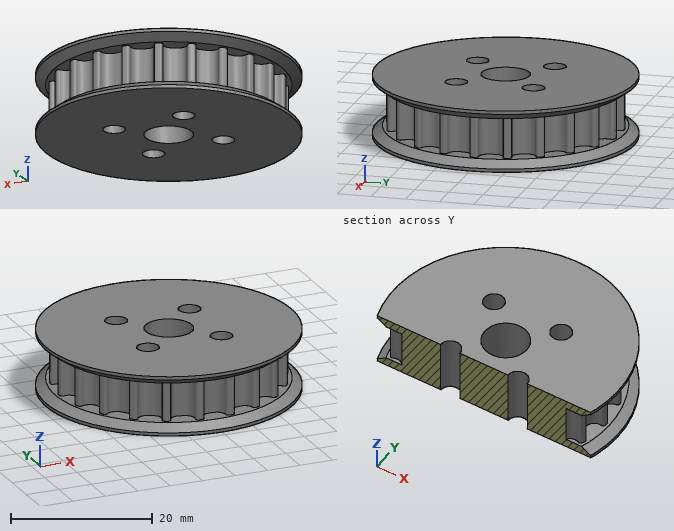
import cadquery as cq
import math

flange_diameter = 37.73
flange_root_diameter = 34.85
flange_rim_height = 0.5
flange_thickness = 1.5
total_height = 9.0
belt_width = total_height - 2 * flange_thickness

tooth_count = 22
tooth_tip_diameter = 33.9
tooth_land_width = 0.4
tooth_tip_fillet = 0.4
groove_depth = 2.05
groove_flat_width = 0.75

bore_diameter = 7.0
bolt_hole_diameter = 3.2
bolt_hole_spacing = 11.32


def polar(radius, angle):
    """Point at a radius and an angle counted from +X, in radians."""
    return (radius * math.cos(angle), radius * math.sin(angle))


def arc_midpoint(center, radius, start, end):
    """Middle of the short arc between two points of a circle."""
    dx = (start[0] + end[0]) / 2 - center[0]
    dy = (start[1] + end[1]) / 2 - center[1]
    length = math.hypot(dx, dy)
    return (center[0] + radius * dx / length, center[1] + radius * dy / length)


def groove_side():
    """Points on one side of a groove centred on +X, from its flat floor out to the tooth land.

    The floor blends into a concave flank arc, which is tangent to the convex
    tip fillet, which is tangent to the tip circle.
    """
    tip_radius = tooth_tip_diameter / 2
    floor_radius = tip_radius - groove_depth
    floor_end = (floor_radius, groove_flat_width / 2)

    land_angle = math.pi / tooth_count - tooth_land_width / 2 / tip_radius
    land_start = polar(tip_radius, land_angle)
    fillet_center = polar(tip_radius - tooth_tip_fillet, land_angle)

    rise = fillet_center[0] - floor_end[0]
    run = fillet_center[1] - floor_end[1]
    flank_radius = (rise**2 + run**2 - tooth_tip_fillet**2) / (2 * (rise + tooth_tip_fillet))
    flank_center = (floor_end[0] + flank_radius, floor_end[1])

    share = flank_radius / (flank_radius + tooth_tip_fillet)
    tangent_point = (
        flank_center[0] + share * (fillet_center[0] - flank_center[0]),
        flank_center[1] + share * (fillet_center[1] - flank_center[1]),
    )
    flank_middle = arc_midpoint(flank_center, flank_radius, floor_end, tangent_point)
    fillet_middle = arc_midpoint(fillet_center, tooth_tip_fillet, tangent_point, land_start)
    return [floor_end, flank_middle, tangent_point, fillet_middle, land_start]


def rotate(point, angle):
    """Point turned about the pulley axis."""
    x, y = point
    return (
        x * math.cos(angle) - y * math.sin(angle),
        x * math.sin(angle) + y * math.cos(angle),
    )


def toothed_rim():
    """Solid toothed disc between the two flanges."""
    upper_side = groove_side()
    lower_side = [(x, -y) for x, y in reversed(upper_side)]
    pitch_angle = 2 * math.pi / tooth_count
    first_groove_angle = -math.pi / 2

    profile = cq.Workplane("XY").workplane(offset=flange_thickness)
    profile = profile.moveTo(*rotate(lower_side[0], first_groove_angle))
    for index in range(tooth_count):
        angle = first_groove_angle + index * pitch_angle
        _, fillet_in, tangent_in, flank_in, floor_start = [rotate(p, angle) for p in lower_side]
        floor_end, flank_out, tangent_out, fillet_out, land_end = [rotate(p, angle) for p in upper_side]
        land_middle = polar(tooth_tip_diameter / 2, angle + pitch_angle / 2)
        next_groove = rotate(lower_side[0], angle + pitch_angle)
        profile = (
            profile.threePointArc(fillet_in, tangent_in)
            .threePointArc(flank_in, floor_start)
            .lineTo(*floor_end)
            .threePointArc(flank_out, tangent_out)
            .threePointArc(fillet_out, land_end)
            .threePointArc(land_middle, next_groove)
        )
    return profile.close().extrude(belt_width)


def lower_flange():
    """Flat disc with a short straight rim and a cone narrowing towards the teeth."""
    return (
        cq.Workplane("XZ")
        .lineTo(flange_diameter / 2, 0)
        .lineTo(flange_diameter / 2, flange_rim_height)
        .lineTo(flange_root_diameter / 2, flange_thickness)
        .lineTo(0, flange_thickness)
        .close()
        .revolve(360, (0, 0), (0, 1))
    )


def through_holes():
    """Central bore and four bolt holes on a square."""
    bore = cq.Workplane("XY").circle(bore_diameter / 2).extrude(total_height)
    bolt_holes = (
        cq.Workplane("XY")
        .rect(bolt_hole_spacing, bolt_hole_spacing, forConstruction=True)
        .vertices()
        .circle(bolt_hole_diameter / 2)
        .extrude(total_height)
    )
    return bore.union(bolt_holes)


bottom = lower_flange()
top = bottom.mirror("XY").translate((0, 0, total_height))
result = toothed_rim().union(bottom).union(top).cut(through_holes())